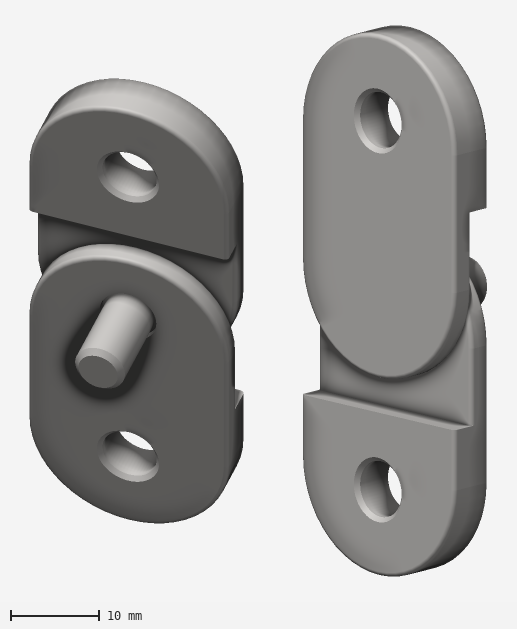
import cadquery as cq

total_length = 63.0
link_length = 40.0
link_width = 24.0
link_thickness = 5.55
step_from_end = 19.0
edge_radius = 0.5

lap_thickness = link_thickness / 2

hole_diameter = 6.5
hole_chamfer = 0.5
hole_from_end = 10.0

stud_diameter = 6.0
stud_length = 9.75
stud_chamfer = 0.6
shoulder_diameter = 6.8
shoulder_recess = 0.5

front_y = -lap_thickness
back_y = lap_thickness
end_z = total_length / 2


def stadium_plate(bottom_z, top_z, near_y, far_y):
    """Round-ended plate between two Y planes, rounded around both faces."""
    return (
        cq.Workplane("XZ", origin=(0, far_y, (bottom_z + top_z) / 2))
        .slot2D(top_z - bottom_z, link_width, 90)
        .extrude(far_y - near_y)
        .faces("<Y or >Y")
        .fillet(edge_radius)
    )


def y_cylinder(diameter, near_y, far_y, z=0.0):
    """Round bar along Y."""
    return cq.Workplane("XZ", origin=(0, far_y, z)).circle(diameter / 2).extrude(far_y - near_y)


def lower_link():
    """Link whose lap tongue lies in front of the lap plane and points up."""
    bottom_z = -end_z
    top_z = bottom_z + link_length
    step_z = bottom_z + step_from_end
    hole_z = bottom_z + hole_from_end

    above_step = (
        cq.Workplane("XY", origin=(0, 0, step_z))
        .rect(link_width, link_thickness)
        .extrude(top_z - step_z)
    )
    thick_end = stadium_plate(bottom_z, top_z, front_y, back_y).cut(above_step)

    tongue = stadium_plate(bottom_z, top_z, front_y, 0).intersect(above_step)

    mounting_hole = y_cylinder(hole_diameter, front_y, back_y, hole_z)
    link = thick_end.union(tongue).cut(mounting_hole)
    rim_reach = hole_diameter / 2 + hole_chamfer
    rims = cq.selectors.BoxSelector(
        (-rim_reach, front_y - hole_chamfer, hole_z - rim_reach),
        (rim_reach, back_y + hole_chamfer, hole_z + rim_reach),
    )
    link = link.edges(rims).edges("%CIRCLE").chamfer(hole_chamfer)
    return link.cut(y_cylinder(shoulder_diameter, front_y, back_y))


def upper_link():
    """The same link turned half a turn about X, so its tongue lies behind."""
    return lower_link().rotate((0, 0, 0), (1, 0, 0), 180)


def pivot_pin():
    """Pin flush with the back of the links; its shoulder tapers to the stud just below the front."""
    stud_radius = stud_diameter / 2
    shoulder_radius = shoulder_diameter / 2
    taper = shoulder_radius - stud_radius
    taper_y = front_y + shoulder_recess
    tip_y = front_y - stud_length
    return (
        cq.Workplane("XY")
        .moveTo(0, back_y)
        .lineTo(shoulder_radius, back_y)
        .lineTo(shoulder_radius, taper_y + taper)
        .lineTo(stud_radius, taper_y)
        .lineTo(stud_radius, tip_y + stud_chamfer)
        .lineTo(stud_radius - stud_chamfer, tip_y)
        .lineTo(0, tip_y)
        .close()
        .revolve(360, (0, 0, 0), (0, 1, 0))
    )


result = cq.Compound.makeCompound([lower_link().val(), upper_link().val(), pivot_pin().val()])